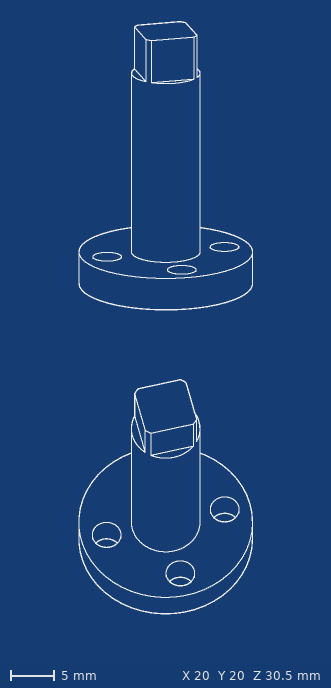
import cadquery as cq

flange_diameter = 20.0
flange_thickness = 3.81
shaft_diameter = 7.9
shoulder_height = 25.4
square_width = 6.1
square_length = 5.08
bolt_hole_diameter = 3.3
bolt_circle_diameter = 14.0
bolt_hole_count = 4

total_height = shoulder_height + square_length


def make_flange():
    """Round base plate with a circle of through holes."""
    plate = cq.Workplane("XY").circle(flange_diameter / 2).extrude(flange_thickness)
    bolt_holes = (
        cq.Workplane("XY")
        .polarArray(bolt_circle_diameter / 2, 0, 360, bolt_hole_count)
        .circle(bolt_hole_diameter / 2)
        .extrude(flange_thickness)
    )
    return plate.cut(bolt_holes)


def make_shaft():
    """Round shaft whose top end is milled to a square with corners left round."""
    rod = cq.Workplane("XY").circle(shaft_diameter / 2).extrude(total_height)
    square_end_waste = (
        cq.Workplane("XY")
        .workplane(offset=shoulder_height)
        .rect(shaft_diameter, shaft_diameter)
        .rect(square_width, square_width)
        .extrude(square_length)
    )
    return rod.cut(square_end_waste)


result = make_flange().union(make_shaft())